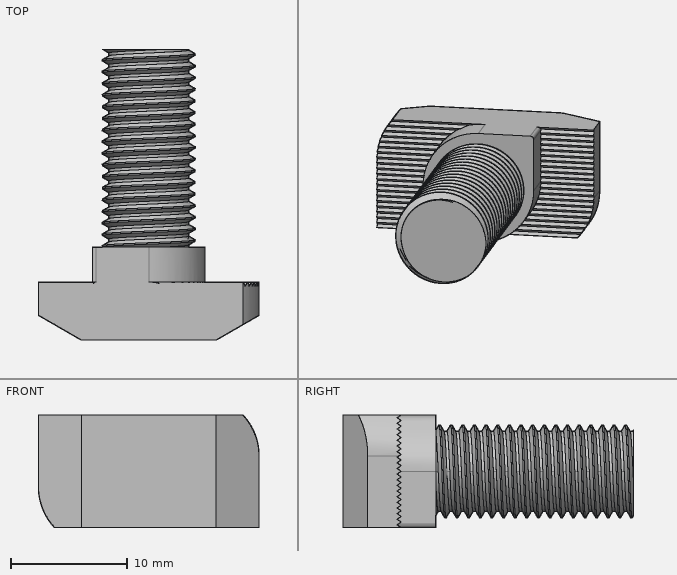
import cadquery as cq
import math


head_length = 19.0
head_height = 9.7
head_thickness = 5.0
front_flat_length = 11.6
bevel_angle = 30.0
runout_x = 8.1
corner_radius = 5.2

tooth_count = 20
tooth_depth = 0.33

neck_diameter = head_height
neck_length = 3.0
neck_corner_fillet = 0.3

bolt_length = 25.0
thread_diameter = 8.0
pitch = 1.0
flank_angle = 30.0
crest_flat = pitch / 8
root_flat = pitch / 4
thread_depth = (pitch - crest_flat - root_flat) / 2 / math.tan(math.radians(flank_angle))
ridge_phase = 0.57
ridge_embed = 0.05
ridge_overrun = pitch
core_overrun = 2 * pitch

half_length = head_length / 2
half_height = head_height / 2
neck_radius = neck_diameter / 2
neck_end = head_thickness + neck_length
overlap = 0.5


def along_y(start):
    """Workplane facing +Y at the given Y, with its local axes X and -Z."""
    return cq.Workplane("XZ", origin=(0, start, 0)).transformed(rotate=(180, 0, 0))


def make_head():
    """Bevelled bar with two diagonally opposite corners rounded for turning in the slot."""
    half_flat = front_flat_length / 2
    bevel_depth = (half_length - half_flat) * math.tan(math.radians(bevel_angle))
    bar = (
        cq.Workplane("XY", origin=(0, 0, -half_height))
        .moveTo(-half_flat, 0)
        .lineTo(half_flat, 0)
        .lineTo(half_length, bevel_depth)
        .lineTo(half_length, head_thickness)
        .lineTo(-half_length, head_thickness)
        .lineTo(-half_length, bevel_depth)
        .close()
        .extrude(head_height)
    )
    return bar.intersect(make_turning_outline())


def make_turning_outline():
    """Prism along Y whose arcs are tangent to the ends and run out at the top and bottom."""
    arc_center_x = half_length - corner_radius
    arc_rise = math.sqrt(corner_radius**2 - (runout_x - arc_center_x) ** 2)
    tangent_z = half_height - arc_rise
    half_angle = math.atan2(arc_rise, runout_x - arc_center_x) / 2
    mid_x = arc_center_x + corner_radius * math.cos(half_angle)
    mid_z = tangent_z + corner_radius * math.sin(half_angle)
    return (
        cq.Workplane("XZ")
        .moveTo(-half_length, half_height)
        .lineTo(runout_x, half_height)
        .threePointArc((mid_x, mid_z), (half_length, tangent_z))
        .lineTo(half_length, -half_height)
        .lineTo(-runout_x, -half_height)
        .threePointArc((-mid_x, -mid_z), (-half_length, -tangent_z))
        .close()
        .extrude(-head_thickness)
    )


def cut_serrations(head):
    """V-grooves along X across the clamping face, spaced so that they leave sharp teeth."""
    tooth_pitch = head_height / tooth_count
    profile = cq.Workplane("YZ", origin=(-half_length - overlap, 0, 0))
    profile = profile.moveTo(head_thickness, -half_height)
    for tooth in range(tooth_count):
        base_z = -half_height + tooth * tooth_pitch
        profile = profile.lineTo(head_thickness - tooth_depth, base_z + tooth_pitch / 2)
        profile = profile.lineTo(head_thickness, base_z + tooth_pitch)
    grooves = (
        profile.lineTo(head_thickness + overlap, half_height)
        .lineTo(head_thickness + overlap, -half_height)
        .close()
        .extrude(head_length + 2 * overlap)
    )
    return head.cut(grooves)


def make_neck():
    """Round neck squared off in the two quadrants that stop the bolt from turning."""
    start = head_thickness - tooth_depth - overlap
    length = neck_end - start
    neck = along_y(start).circle(neck_radius).extrude(length)
    for side in (-1, 1):
        square = (
            along_y(start)
            .center(side * neck_radius / 2, side * neck_radius / 2)
            .rect(neck_radius, neck_radius)
            .extrude(length)
        )
        outer_corner = cq.selectors.NearestToPointSelector(
            (side * neck_radius, start + length / 2, -side * neck_radius)
        )
        neck = neck.union(square.edges(outer_corner).fillet(neck_corner_fillet))
    return neck


def make_threaded_shank():
    """Right-handed helical ridge on a root core, built along Z and then laid along Y."""
    shank_length = bolt_length - neck_end
    root_radius = thread_diameter / 2 - thread_depth
    start_z = ridge_phase - ridge_overrun

    core = (
        cq.Workplane("XY", origin=(0, 0, -core_overrun))
        .circle(root_radius)
        .extrude(shank_length + 2 * core_overrun)
    )
    helix = cq.Wire.makeHelix(pitch, shank_length + 2 * ridge_overrun, root_radius)
    path = cq.Workplane(obj=helix).translate((0, 0, start_z))
    crest_half = crest_flat / 2
    base_half = crest_half + (thread_depth + ridge_embed) * math.tan(math.radians(flank_angle))
    ridge = (
        cq.Workplane("XZ", origin=(0, 0, start_z))
        .moveTo(root_radius - ridge_embed, -base_half)
        .lineTo(thread_diameter / 2, -crest_half)
        .lineTo(thread_diameter / 2, crest_half)
        .lineTo(root_radius - ridge_embed, base_half)
        .close()
        .sweep(path, isFrenet=True)
    )
    envelope = cq.Workplane("XY").rect(2 * thread_diameter, 2 * thread_diameter).extrude(shank_length)
    thread = core.union(ridge).intersect(envelope)
    return thread.rotate((0, 0, 0), (1, 0, 0), -90).translate((0, neck_end, 0))


head = cut_serrations(make_head())
result = head.union(make_neck()).union(make_threaded_shank())